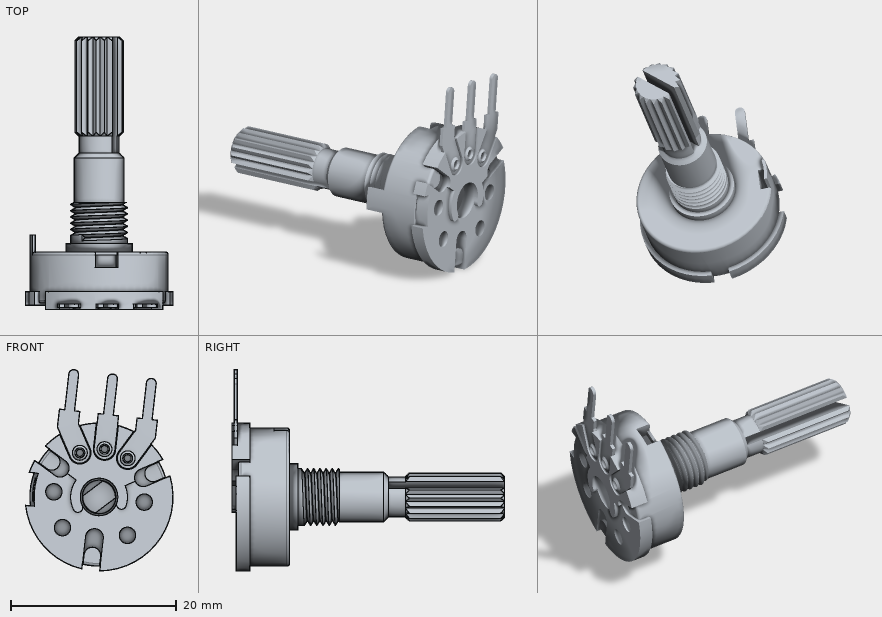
import cadquery as cq
import math

HOUSING_TURN = 6.5

COVER_FRONT = 0.5
COVER_BACK = 2.16
CASE_BOTTOM = 1.88
CASE_TOP = 6.97
COLLAR_TOP = 7.96
BUSHING_TOP = 12.97
SLEEVE_TOP = 18.93
KNURL_START = 21.0
SHAFT_TOP = 32.95

COVER_RADIUS = 8.95
CUT_REACH = COVER_RADIUS + 1
RAISED_RADIUS = 3.44
RAISED_FROM = 30.0
RAISED_TO = 150.0
RIGHT_ARM_END = -12.0
LEFT_ARM_END = 213.0
BORE_RADIUS = 2.27
BORE_DEPTH = COVER_BACK
ARM_MID_RADIUS = (RAISED_RADIUS + BORE_RADIUS) / 2
ARM_END_RADIUS = (RAISED_RADIUS - BORE_RADIUS) / 2
PEG_HOLE_RADIUS = 0.99
PEG_HOLE_FLOOR = 1.7
PEG_HOLES = [(5.5, 0.0), (5.5, 180.0), (5.77, 226.5), (5.77, 313.0)]
KEY_NOTCH_WIDTH = 4.0
KEY_NOTCH_FLOOR_RADIUS = 7.87

SHEET = 0.36
CRIMP_FRONT = 0.78
CRIMP_BACK = CRIMP_FRONT + SHEET
SLOT_WIDTH = 2.16
CRIMPS = [(5.85, 30.0, CRIMP_BACK), (5.85, 150.0, CRIMP_BACK), (4.94, 270.0, CASE_BOTTOM)]
CRIMP_WIDTH = 2.0
CRIMP_TIP_RADIUS = 6.12
CRIMP_BEND = 0.32

CASE_RADIUS = 8.37
CASE_INNER_RADIUS = CASE_RADIUS - SHEET
KEY_WIDTH = 2.77
KEY_TOP = 9.04
WALL_NOTCH_BOTTOM = 5.06
OPENING_FLOOR = 6.95
UNDERCUT_FLOOR = 6.2

COLLAR_RADIUS = 4.02
THREAD_RADIUS = 3.45
THREAD_PITCH = 0.75
THREAD_ROOT_RADIUS = 2.89
THREAD_START = 8.68
THREAD_START_ANGLE = 133.0
THREAD_CREST = 0.025
THREAD_ROOT_FLAT = 0.06
THREAD_MOUTH = 1.15

TERMINAL_FRONT = 0.25
TERMINAL_BACK = 0.65
TERMINAL_WIDTH = 2.5
TERMINAL_STEP = 30.0
TERMINAL_ANGLES = [90.0 - TERMINAL_STEP, 90.0, 90.0 + TERMINAL_STEP]
TERMINAL_SPACING = 4.72
RIVET_CIRCLE = 5.82
SHOULDER_HEIGHT = 10.02
PIN_WIDTH = 1.21
PIN_TOP = 14.96
POCKET_GAP = 0.1
RIVET_RADIUS = 0.9
RIVET_CREST_RADIUS = 0.6
RIVET_HOLE_RADIUS = 0.43
RIVET_LIP_DEPTH = 0.2

JOURNAL_RADIUS = 2.03
TONGUE_RADIUS = 1.97
TONGUE_WIDTH = 2.56
TONGUE_END = 1.78
SLEEVE_RADIUS = 3.02
NECK_RADIUS = 2.42
KNURL_RADIUS = 2.93
KNURL_BEVEL = 0.46
KNURL_TEETH = 18
SPLIT_WIDTH = 1.0
SHAFT_TURN = 37.0


def plane_at(y):
    return cq.Workplane("XZ", origin=(0, y, 0))


def disk(radius, y_start, y_end):
    return plane_at(y_start).circle(radius).extrude(y_start - y_end)


def box(x_start, x_end, width, y_start, y_end):
    middle = (x_start + x_end) / 2
    return plane_at(y_start).center(middle, 0).rect(x_end - x_start, width).extrude(y_start - y_end)


def polar(radius, angle):
    return (radius * math.cos(math.radians(angle)), radius * math.sin(math.radians(angle)))


def turned(body, angle):
    """Turn a body about Y, counterclockwise when seen from -Y."""
    return body.rotate((0, 0, 0), (0, 1, 0), -angle)


def round_ended_bar(end_centre, outer, width, y_start, y_end):
    """A bar along +X whose inner end is a half circle."""
    bar = box(end_centre, outer, width, y_start, y_end)
    end = plane_at(y_start).center(end_centre, 0).circle(width / 2).extrude(y_start - y_end)
    return bar.union(end)


def tip_point(angle, side):
    """Outermost point of a round arm end; side is +1 past the end counterclockwise, -1 clockwise."""
    x, z = polar(ARM_MID_RADIUS, angle)
    dx, dz = polar(ARM_END_RADIUS, angle + side * 90)
    return (x + dx, z + dz)


def raised_pad():
    """Raised sector under the terminals, with two arms curling round the bore."""
    return (
        plane_at(0)
        .moveTo(*polar(RAISED_RADIUS, RAISED_FROM))
        .lineTo(*polar(COVER_RADIUS, RAISED_FROM))
        .threePointArc((0, COVER_RADIUS), polar(COVER_RADIUS, RAISED_TO))
        .lineTo(*polar(RAISED_RADIUS, RAISED_TO))
        .threePointArc(polar(RAISED_RADIUS, (RAISED_TO + LEFT_ARM_END) / 2),
                       polar(RAISED_RADIUS, LEFT_ARM_END))
        .threePointArc(tip_point(LEFT_ARM_END, 1), polar(BORE_RADIUS, LEFT_ARM_END))
        .threePointArc((0, BORE_RADIUS), polar(BORE_RADIUS, RIGHT_ARM_END))
        .threePointArc(tip_point(RIGHT_ARM_END, -1), polar(RAISED_RADIUS, RIGHT_ARM_END))
        .threePointArc(polar(RAISED_RADIUS, (RAISED_FROM + RIGHT_ARM_END) / 2),
                       polar(RAISED_RADIUS, RAISED_FROM))
        .close()
        .extrude(-COVER_FRONT)
    )


def cover():
    body = disk(COVER_RADIUS, COVER_FRONT, COVER_BACK).union(raised_pad())
    for end_radius, angle, slot_floor in CRIMPS:
        slot = round_ended_bar(end_radius, CUT_REACH, SLOT_WIDTH, 0, slot_floor)
        rim_gap = box(CASE_INNER_RADIUS, CUT_REACH, SLOT_WIDTH, 0, COVER_BACK)
        body = body.cut(turned(slot.union(rim_gap), angle))
    for radius, angle in PEG_HOLES:
        x, z = polar(radius, angle)
        hole = plane_at(0).center(x, z).circle(PEG_HOLE_RADIUS).extrude(-PEG_HOLE_FLOOR)
        body = body.cut(hole)
    notch = box(-CUT_REACH, 0, KEY_NOTCH_WIDTH, 0, COVER_BACK)
    return body.cut(notch.cut(disk(KEY_NOTCH_FLOOR_RADIUS, 0, COVER_BACK)))


def case():
    body = disk(CASE_RADIUS, COVER_BACK, CASE_TOP).faces(">Y").edges().fillet(SHEET)
    body = body.union(disk(KEY_NOTCH_FLOOR_RADIUS, CASE_BOTTOM, COVER_BACK))
    wall = disk(CASE_RADIUS, CRIMP_FRONT, KEY_TOP).cut(disk(CASE_INNER_RADIUS, CRIMP_FRONT, KEY_TOP))

    opening = box(OPENING_FLOOR, CASE_RADIUS, KEY_WIDTH, WALL_NOTCH_BOTTOM, CASE_TOP)
    undercut = box(UNDERCUT_FLOOR, CASE_RADIUS, KEY_WIDTH, WALL_NOTCH_BOTTOM, CASE_TOP - SHEET)
    body = body.cut(turned(opening.union(undercut), 90))

    slit = box(-CASE_RADIUS, -OPENING_FLOOR, KEY_WIDTH, CASE_BOTTOM, CASE_TOP)
    key = box(-CASE_RADIUS, 0, KEY_WIDTH, COVER_BACK, KEY_TOP)
    body = body.cut(slit).union(wall.intersect(key))

    for _, angle, _ in CRIMPS:
        end_centre = CRIMP_TIP_RADIUS + CRIMP_WIDTH / 2
        tab = round_ended_bar(end_centre, CASE_RADIUS, CRIMP_WIDTH, CRIMP_FRONT, CRIMP_BACK)
        leg = wall.intersect(box(0, CASE_RADIUS, CRIMP_WIDTH, CRIMP_FRONT, COVER_BACK))
        outline = disk(CASE_RADIUS, CRIMP_FRONT, COVER_BACK).faces("<Y").edges().fillet(CRIMP_BEND)
        body = body.union(turned(tab.union(leg).intersect(outline), angle))
    return body


def thread_groove():
    """Helical V groove, running out through the free end of the bushing."""
    length = BUSHING_TOP + THREAD_PITCH - THREAD_START
    helix = cq.Wire.makeHelix(THREAD_PITCH, length, THREAD_ROOT_RADIUS)
    mouth_radius = THREAD_ROOT_RADIUS + THREAD_MOUTH * (THREAD_RADIUS - THREAD_ROOT_RADIUS)
    half_mouth = THREAD_MOUTH * (THREAD_PITCH - THREAD_CREST) / 2
    half_root = THREAD_ROOT_FLAT / 2
    groove = (
        cq.Workplane("XZ")
        .polyline([
            (THREAD_ROOT_RADIUS, -half_root),
            (mouth_radius, -half_mouth),
            (mouth_radius, half_mouth),
            (THREAD_ROOT_RADIUS, half_root),
        ])
        .close()
        .sweep(cq.Workplane(helix), isFrenet=True)
    )
    groove = groove.rotate((0, 0, 0), (1, 0, 0), -90).translate((0, THREAD_START, 0))
    return turned(groove, THREAD_START_ANGLE)


def bushing():
    collar = disk(COLLAR_RADIUS, CASE_TOP, COLLAR_TOP)
    return collar.union(disk(THREAD_RADIUS, COLLAR_TOP, BUSHING_TOP).cut(thread_groove()))


def upper_offset(angle):
    """X position of the straight upper part of the terminal riveted at this angle."""
    return TERMINAL_SPACING * (90 - angle) / TERMINAL_STEP


def terminal_outline(angle, gap, y_start, y_end):
    """Radial strip with a round end at the rivet, bent to run straight up to the shoulder.

    The gap widens the strip on each side, which gives the pocket that it lies in.
    """
    half = TERMINAL_WIDTH / 2 + gap
    lean = math.radians(90 - angle)
    x_rivet, z_rivet = polar(RIVET_CIRCLE, angle)
    x_upper = upper_offset(angle)

    def side_start(side):
        return (x_rivet + side * half * math.cos(lean), z_rivet - side * half * math.sin(lean))

    def bend(side):
        x, z = side_start(side)
        x_bend = x_upper + side * half
        return (x_bend, z + (x_bend - x) / math.tan(lean)) if lean else (x_bend, z_rivet + half)

    return (
        plane_at(y_start)
        .moveTo(*side_start(-1))
        .lineTo(*bend(-1))
        .lineTo(x_upper - half, SHOULDER_HEIGHT)
        .lineTo(x_upper + half, SHOULDER_HEIGHT)
        .lineTo(*bend(1))
        .lineTo(*side_start(1))
        .threePointArc(polar(RIVET_CIRCLE - half, angle), side_start(-1))
        .close()
        .extrude(y_start - y_end)
    )


def rivet():
    """Raised eyelet with a conical rim."""
    return (
        cq.Workplane("XY")
        .moveTo(0, TERMINAL_BACK)
        .lineTo(RIVET_RADIUS, TERMINAL_BACK)
        .lineTo(RIVET_RADIUS, TERMINAL_FRONT)
        .lineTo(RIVET_CREST_RADIUS, 0)
        .lineTo(RIVET_HOLE_RADIUS, RIVET_LIP_DEPTH)
        .lineTo(0, RIVET_LIP_DEPTH)
        .close()
        .revolve(360, (0, 0, 0), (0, 1, 0))
    )


def terminal(angle):
    x_pin = upper_offset(angle)
    tip_centre = PIN_TOP - PIN_WIDTH / 2
    thickness = TERMINAL_BACK - TERMINAL_FRONT
    pin = (
        plane_at(TERMINAL_FRONT)
        .moveTo(x_pin - PIN_WIDTH / 2, SHOULDER_HEIGHT)
        .lineTo(x_pin - PIN_WIDTH / 2, tip_centre)
        .threePointArc((x_pin, PIN_TOP), (x_pin + PIN_WIDTH / 2, tip_centre))
        .lineTo(x_pin + PIN_WIDTH / 2, SHOULDER_HEIGHT)
        .close()
        .extrude(-thickness)
    )
    body = terminal_outline(angle, 0, TERMINAL_FRONT, TERMINAL_BACK).union(pin)
    x, z = polar(RIVET_CIRCLE, angle)
    rivet_hole = disk(RIVET_HOLE_RADIUS, 0, TERMINAL_BACK)
    return body.union(rivet().translate((x, 0, z))).cut(rivet_hole.translate((x, 0, z)))


def make_housing():
    body = cover().union(case()).union(bushing())
    for angle in TERMINAL_ANGLES:
        body = body.cut(terminal_outline(angle, POCKET_GAP, 0, TERMINAL_BACK))
    for angle in TERMINAL_ANGLES:
        body = body.union(terminal(angle))
    body = body.cut(disk(BORE_RADIUS, 0, BORE_DEPTH))
    body = body.cut(disk(JOURNAL_RADIUS, 0, BUSHING_TOP))
    return turned(body, -HOUSING_TURN)


def knurl():
    """Sharp straight teeth, bevelled at both ends."""
    step = 360 / KNURL_TEETH
    points = []
    for tooth in range(KNURL_TEETH):
        points.append(polar(KNURL_RADIUS, tooth * step))
        points.append(polar(NECK_RADIUS, (tooth + 0.5) * step))
    teeth = plane_at(KNURL_START).polyline(points).close().extrude(KNURL_START - SHAFT_TOP)
    envelope = disk(KNURL_RADIUS, KNURL_START, SHAFT_TOP).faces("<Y or >Y").edges().chamfer(KNURL_BEVEL)
    return teeth.intersect(envelope)


def make_shaft():
    tongue = disk(TONGUE_RADIUS, TONGUE_END, BORE_DEPTH)
    tongue = tongue.intersect(box(-TONGUE_RADIUS, TONGUE_RADIUS, TONGUE_WIDTH, TONGUE_END, BORE_DEPTH))
    journal = disk(JOURNAL_RADIUS, BORE_DEPTH, BUSHING_TOP)
    sleeve = disk(SLEEVE_RADIUS, BUSHING_TOP, SLEEVE_TOP)
    sleeve = sleeve.faces(">Y").edges().chamfer(SLEEVE_RADIUS - NECK_RADIUS)
    grip = disk(NECK_RADIUS, SLEEVE_TOP, KNURL_START).union(knurl())
    split = box(-KNURL_RADIUS, KNURL_RADIUS, SPLIT_WIDTH, SLEEVE_TOP, SHAFT_TOP)
    body = tongue.union(journal).union(sleeve).union(grip.cut(split))
    return turned(body, SHAFT_TURN)


housing = make_housing()
shaft = make_shaft()
result = cq.Compound.makeCompound([housing.solids().val(), shaft.solids().val()])